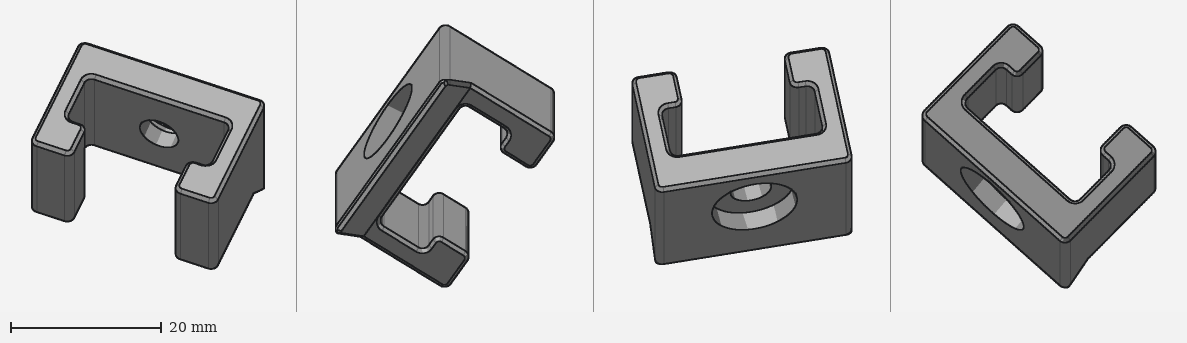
import cadquery as cq
import math

width = 26.6
depth = 18.15
height = 19.75
body_height = 15.99
foot_drop = height - body_height

side_wall = 3.0
back_wall = 5.15
lip_reach = 6.0
lip_depth = 5.5

corner_radius = 1.0
edge_chamfer = 0.5
tip_corner_chamfer = 0.27

hole_diameter = 5.5
counterbore_diameter = 11.5
counterbore_depth = 2.65

foot_angle = math.radians(45)
tip_half_angle = foot_angle / 2
tip_setback = edge_chamfer / math.tan(tip_half_angle)
tip_bevel_run = tip_setback * math.cos(foot_angle)
foot_run = foot_drop + tip_bevel_run
tip_bevel_rise = tip_setback - tip_bevel_run

half_width = width / 2
back_y = depth / 2
front_y = -depth / 2
top_z = height / 2
bottom_z = -height / 2
body_bottom_z = top_z - body_height
cavity_back_y = back_y - back_wall


def c_channel():
    """Full-height C channel, open to the front, with rounded vertical edges."""
    cavity_half_width = half_width - side_wall
    mouth_half_width = half_width - lip_reach
    cavity_depth = depth - back_wall - lip_depth
    block = cq.Workplane("XY").box(width, depth, height)
    cavity = (
        cq.Workplane("XY")
        .center(0, cavity_back_y - cavity_depth / 2)
        .rect(2 * cavity_half_width, cavity_depth)
        .extrude(height, both=True)
    )
    mouth = (
        cq.Workplane("XY")
        .center(0, front_y + lip_depth / 2)
        .rect(2 * mouth_half_width, lip_depth)
        .extrude(height, both=True)
    )
    return block.cut(cavity).cut(mouth).edges("|Z").fillet(corner_radius)


def side_profile():
    """Silhouette with the sloping foot at the back, swept across the width."""
    return (
        cq.Workplane("YZ")
        .moveTo(front_y, top_z)
        .lineTo(back_y, top_z)
        .lineTo(back_y, bottom_z + tip_bevel_rise)
        .lineTo(back_y - tip_bevel_run, bottom_z)
        .lineTo(back_y - foot_run, body_bottom_z)
        .lineTo(front_y, body_bottom_z)
        .close()
        .extrude(width, both=True)
    )


def chamfer_underside(solid):
    """Bevel the outline of the underside and foot, except the straight edges across the foot."""
    foot_start_y = back_y - foot_run
    foot_limit_y = (cavity_back_y + foot_start_y) / 2
    outline = []
    for face in solid.faces().vals():
        normal = face.normalAt()
        faces_down = normal.z < -math.sin(tip_half_angle)
        is_tip_face = normal.y > 0 and face.Center().z < body_bottom_z
        if not faces_down or is_tip_face:
            continue
        for edge in face.Edges():
            middle = edge.Center()
            crosses_foot = abs(middle.x) < half_width / 2 and middle.y > foot_limit_y
            if not crosses_foot:
                outline.append(edge)
    return solid.newObject(outline).chamfer(edge_chamfer)


def chamfer_tip_corners(solid):
    """Bevel the two ends of the narrow face that closes the foot tip."""
    tip_normal = cq.Vector(0, math.sin(tip_half_angle), -math.cos(tip_half_angle))
    tip_ends = solid.faces(cq.selectors.DirectionMinMaxSelector(tip_normal)).edges("not |X")
    return tip_ends.chamfer(tip_corner_chamfer)


def screw_hole():
    """Through hole at mid-height of the body, counterbored from the back face."""
    hole_centre = cq.Workplane("XZ", origin=(0, back_y, top_z - body_height / 2))
    through_hole = hole_centre.circle(hole_diameter / 2).extrude(back_wall)
    counterbore = hole_centre.circle(counterbore_diameter / 2).extrude(counterbore_depth)
    return through_hole.union(counterbore)


body = c_channel().intersect(side_profile())
body = body.faces(">Z").edges().chamfer(edge_chamfer)
body = chamfer_underside(body)
body = chamfer_tip_corners(body)
result = body.cut(screw_hole())